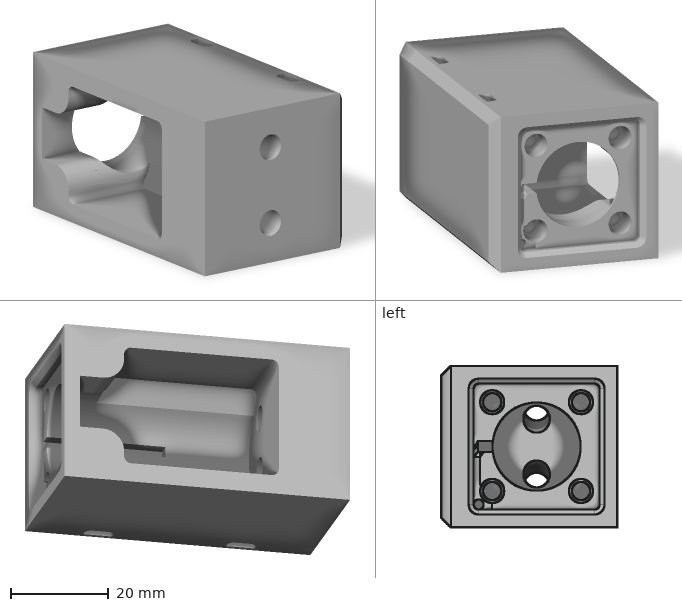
import cadquery as cq
import math

length = 60.0
depth = 36.0
height = 33.0
rear_chamfer = 2.0

axis_y = height / 2
bore_radius = 9.0
bore_end = 45.0

recess_side = 25.7
recess_depth = 2.5
recess_corner = 1.0
recess_bevel = 1.0
recess_wall_y = recess_side / 2

window_start = 3.25
window_shoulder = 12.5
window_half_height = 12.55
window_neck_half_height = 5.5
window_corner = 1.5
shoulder_radius = 4.5
window_taper_angle = 30.0

corner_hole_offset = 9.05
corner_hole_radius = 2.45
corner_hole_depth = 6.0
pilot_radius = 1.85
pilot_depth = 3.0

keyway_width = 2.2
keyway_reach = 12.0
keyway_end = 27.5
channel_depth = 0.9
channel_width = 1.25
channel_top = -2.15
channel_floor = recess_depth + channel_depth
bend_depth = 1.2
bend_inner_y = 10.8
bend_outer_top = -0.55
wire_pocket_top = -7.75
wire_hole_radius = recess_corner
wire_hole_depth = 6.0

end_hole_radius = 2.7
end_hole_offset = 5.6
end_hole_angle = 9.5

slot_length = 6.0
slot_centers = (15.0, 45.0)
slot_front = 30.4
slot_rear = 32.95
slot_corner = 1.5


def end_plane(x):
    """Plane across the bore at x, with local x along +Y and local y along +Z."""
    return cq.Workplane("YZ", origin=(x, axis_y, 0))


def box(x_range, y_range, z_range):
    """Box from coordinate ranges, with Y measured from the bore axis."""
    sizes = [end - start for start, end in (x_range, y_range, z_range)]
    corner = (x_range[0], axis_y + y_range[0], z_range[0])
    return cq.Workplane("XY").box(*sizes, centered=False).translate(corner)


def make_block():
    block = cq.Workplane("XY").box(length, depth, height, centered=(False, False, True))
    return block.faces(">Y").chamfer(rear_chamfer)


def cut_recess(block):
    """Sink the rounded square recess into the -X face and bevel its mouth."""
    recess = end_plane(0).rect(recess_side, recess_side).extrude(recess_depth)
    recess = recess.edges("|X").fillet(recess_corner)
    mouth_half = recess_side / 2 + recess_bevel
    mouth_edges = cq.selectors.BoxSelector(
        (-recess_bevel, axis_y - mouth_half, -mouth_half),
        (recess_bevel, axis_y + mouth_half, mouth_half),
    )
    return block.cut(recess).faces("<X").edges(mouth_edges).chamfer(recess_bevel)


def make_bore():
    return end_plane(recess_depth).circle(bore_radius).extrude(bore_end - recess_depth)


def make_window():
    neck = window_neck_half_height
    wide = window_half_height
    to_bore_floor = (-axis_y, bore_radius)
    opening = box((window_shoulder, bore_end), to_bore_floor, (-wide, wide))
    opening = opening.edges("|Y").fillet(window_corner)
    neck_slot = box((window_start, bore_end), to_bore_floor, (-neck, neck))
    opening = opening.union(neck_slot)
    for z in (-neck, neck):
        shoulder = cq.selectors.NearestToPointSelector((window_shoulder, axis_y - bore_radius / 2, z))
        opening = opening.edges("|Y").edges(shoulder).fillet(shoulder_radius)
    taper_start = bore_radius - wide * math.tan(math.radians(window_taper_angle))
    section = [
        (-axis_y, -wide),
        (taper_start, -wide),
        (bore_radius, 0),
        (taper_start, wide),
        (-axis_y, wide),
    ]
    return opening.intersect(end_plane(0).polyline(section).close().extrude(length))


def make_corner_holes():
    spacing = 2 * corner_hole_offset
    bottom = recess_depth + corner_hole_depth
    holes = end_plane(recess_depth).rect(spacing, spacing, forConstruction=True).vertices()
    holes = holes.circle(corner_hole_radius).extrude(corner_hole_depth)
    pilots = end_plane(bottom).rect(spacing, spacing, forConstruction=True).vertices()
    return holes.union(pilots.circle(pilot_radius).extrude(pilot_depth))


def make_keyway():
    half = keyway_width / 2
    return box((recess_depth, keyway_end), (0, keyway_reach), (-half, half))


def make_wire_channel():
    """Channel from the keyway, down the recess wall, to a pocket at the corner hole."""
    channel = box(
        (recess_depth, channel_floor),
        (recess_wall_y - channel_width, recess_wall_y),
        (wire_pocket_top, channel_top),
    )
    pocket = box(
        (recess_depth, channel_floor),
        (corner_hole_offset, recess_wall_y),
        (-recess_wall_y, wire_pocket_top),
    )
    pocket = pocket.edges("|X and >Y and <Z").fillet(recess_corner)
    return channel.union(pocket)


def make_wire_bend():
    """Slanted passage joining the keyway to the top of the wire channel."""
    half = keyway_width / 2
    channel_inner_y = recess_wall_y - channel_width
    mouth = [
        (bend_inner_y, -half),
        (channel_inner_y, channel_top),
        (recess_wall_y, channel_top),
        (recess_wall_y, bend_outer_top),
        (keyway_reach, half),
    ]
    throat = [
        (bend_inner_y, -half),
        (channel_inner_y, -half),
        (keyway_reach, -half),
        (keyway_reach, 0),
        (keyway_reach, half),
    ]
    entry = end_plane(recess_depth).polyline(mouth).close().extrude(channel_depth)
    slope = (
        end_plane(channel_floor)
        .polyline(mouth)
        .close()
        .workplane(offset=bend_depth)
        .polyline(throat)
        .close()
        .loft(ruled=True)
    )
    return entry.union(slope)


def make_wire_hole():
    offset = recess_wall_y - wire_hole_radius
    start = end_plane(recess_depth).center(offset, -offset)
    return start.circle(wire_hole_radius).extrude(wire_hole_depth)


def make_end_hole(side):
    """Hole through the closed end, leaning away from the bore axis; side is +1 or -1."""
    angle = math.radians(end_hole_angle)
    start = cq.Vector(bore_end, axis_y, side * end_hole_offset)
    direction = cq.Vector(math.cos(angle), 0, side * math.sin(angle))
    overshoot = end_hole_radius
    drill_length = length - bore_end + 2 * overshoot
    entry = start - direction * overshoot
    return cq.Workplane(cq.Solid.makeCylinder(end_hole_radius, drill_length, entry, direction))


def make_strap_slot(x):
    half = slot_length / 2
    slot = box(
        (x - half, x + half),
        (slot_front - axis_y, slot_rear - axis_y),
        (-height / 2, height / 2),
    )
    return slot.edges("|Z and <Y").fillet(slot_corner)


result = cut_recess(make_block())
for cavity in (
    make_bore(),
    make_window(),
    make_corner_holes(),
    make_keyway(),
    make_wire_channel(),
    make_wire_bend(),
    make_wire_hole(),
):
    result = result.cut(cavity)
for side in (-1, 1):
    result = result.cut(make_end_hole(side))
for x in slot_centers:
    result = result.cut(make_strap_slot(x))